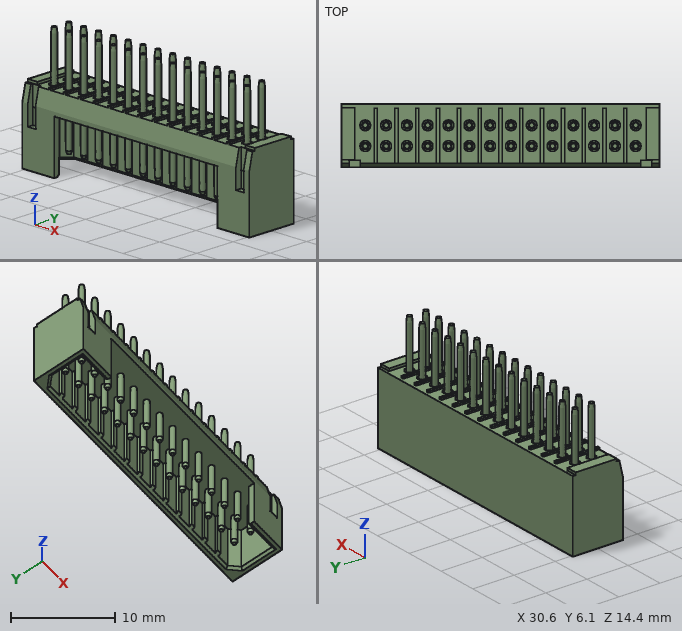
import cadquery as cq

LENGTH = 30.6
WIDTH = 6.1
DECK_Z = 8.6
FRONT_Y = -WIDTH / 2
BACK_Y = WIDTH / 2

SLOPE_DEPTH = 0.42
SLOPE_HEIGHT = 1.87

CEILING_Z = 6.25
CAVITY_HALF_LENGTH = 14.6
LONG_WALL = 0.7
CAVITY_FRONT_Y = FRONT_Y + LONG_WALL
CAVITY_BACK_Y = BACK_Y - LONG_WALL
CORNER_CUT = 0.95

BEVEL = 0.28
BEVEL_ANGLE = 45

WINDOW_LENGTH = 22.0

PIN_COUNT = 14
ROW_COUNT = 2
PITCH = 2.0
PIN_RADIUS = 0.325
PIN_BOTTOM_Z = 2.0
PIN_TOP_Z = 14.4
PIN_END_RADIUS = 0.18
PIN_END_LENGTH = 0.38
TIP_RADIUS = 0.25
TIP_LENGTH = 0.6
FULL_TURN = 360
RECESS_RADIUS = 0.51
RECESS_DEPTH = 0.35

INNER_RIB_WIDTH = 0.48
INNER_RIB_DEPTH = 0.27
TOP_RIB_WIDTH = 0.32
TOP_RIB_HEIGHT = 0.2
TOP_RIB_BACK_Y = 2.65

PAD_LENGTH = 1.3
PAD_HEIGHT = 0.3
PAD_BACK_Y = 2.7
PAD_FRONT_Y = -2.3

NOTCH_WIDTH = 1.05
NOTCH_END_GAP = 0.75
NOTCH_FLOOR_Z = 4.4
NOTCH_X = LENGTH / 2 - NOTCH_END_GAP - NOTCH_WIDTH / 2


def box(x_min, x_max, y_min, y_max, z_min, z_max):
    """Block between the given limits."""
    size = (x_max - x_min, y_max - y_min, z_max - z_min)
    return cq.Workplane("XY").box(*size, centered=False).translate((x_min, y_min, z_min))


def box_at(x, width, y_min, y_max, z_min, z_max):
    """Block of the given X width centred on x."""
    return box(x - width / 2, x + width / 2, y_min, y_max, z_min, z_max)


def extrude_side_profile(points, length):
    """Extrude a closed (Y, Z) outline along X, centred on X = 0."""
    return cq.Workplane("YZ").polyline(points).close().extrude(length / 2, both=True)


def centred_positions(count):
    """Positions of count items at the pin pitch, centred on zero."""
    return [(i - (count - 1) / 2) * PITCH for i in range(count)]


PIN_POINTS = [(x, y) for x in centred_positions(PIN_COUNT) for y in centred_positions(ROW_COUNT)]
RIB_POSITIONS = centred_positions(PIN_COUNT - 1)


def make_shell():
    """Outer block with the sloped front edge."""
    outline = [
        (FRONT_Y, 0),
        (BACK_Y, 0),
        (BACK_Y, DECK_Z),
        (FRONT_Y + SLOPE_DEPTH, DECK_Z),
        (FRONT_Y, DECK_Z - SLOPE_HEIGHT),
    ]
    return extrude_side_profile(outline, LENGTH)


def make_cavity():
    """Bottom cavity with cut back corners and ribs left standing on the back wall."""
    cavity = (
        box_at(0, 2 * CAVITY_HALF_LENGTH, CAVITY_FRONT_Y, CAVITY_BACK_Y, 0, CEILING_Z)
        .edges("|Z and >Y")
        .chamfer(CORNER_CUT)
    )
    for x in RIB_POSITIONS:
        rib = box_at(x, INNER_RIB_WIDTH, CAVITY_BACK_Y - INNER_RIB_DEPTH, CAVITY_BACK_Y, 0, CEILING_Z)
        cavity = cavity.cut(rib)
    return cavity


def make_bevel():
    """Taper that widens the cavity mouth and slopes the lower ends of the ribs."""
    half_length = CAVITY_HALF_LENGTH
    cut_x = half_length - CORNER_CUT
    cut_y = CAVITY_BACK_Y - CORNER_CUT
    outline = [
        (-half_length, CAVITY_FRONT_Y),
        (half_length, CAVITY_FRONT_Y),
        (half_length, cut_y),
        (cut_x, CAVITY_BACK_Y),
        (-cut_x, CAVITY_BACK_Y),
        (-half_length, cut_y),
    ]
    return (
        cq.Workplane("XY")
        .polyline(outline)
        .close()
        .offset2D(BEVEL, "intersection")
        .extrude(BEVEL + INNER_RIB_DEPTH, taper=BEVEL_ANGLE)
    )


def make_window():
    """Opening through the front wall, from the underside up to the cavity ceiling."""
    return box_at(0, WINDOW_LENGTH, FRONT_Y, CAVITY_FRONT_Y, 0, CEILING_Z)


def make_notch(side):
    """Notch as deep as the front wall, so it opens into the cavity below the ceiling."""
    return box_at(side * NOTCH_X, NOTCH_WIDTH, FRONT_Y, CAVITY_FRONT_Y, NOTCH_FLOOR_Z, DECK_Z)


def make_pad(side):
    """Raised pad at one end of the deck."""
    x = side * (LENGTH - PAD_LENGTH) / 2
    return box_at(x, PAD_LENGTH, PAD_FRONT_Y, PAD_BACK_Y, DECK_Z, DECK_Z + PAD_HEIGHT)


def make_top_rib(x):
    """Low rib across the deck."""
    front_y = FRONT_Y + SLOPE_DEPTH
    return box_at(x, TOP_RIB_WIDTH, front_y, TOP_RIB_BACK_Y, DECK_Z, DECK_Z + TOP_RIB_HEIGHT)


def make_recesses():
    """Round recesses in the deck around the pins."""
    plane = cq.Workplane("XY").workplane(offset=DECK_Z - RECESS_DEPTH)
    return plane.pushPoints(PIN_POINTS).circle(RECESS_RADIUS).extrude(RECESS_DEPTH)


def make_pin():
    """Round pin with a tapered lower end and a tapered upper tip."""
    profile = [
        (0, PIN_BOTTOM_Z),
        (PIN_END_RADIUS, PIN_BOTTOM_Z),
        (PIN_RADIUS, PIN_BOTTOM_Z + PIN_END_LENGTH),
        (PIN_RADIUS, PIN_TOP_Z - TIP_LENGTH),
        (TIP_RADIUS, PIN_TOP_Z),
        (0, PIN_TOP_Z),
    ]
    return cq.Workplane("XZ").polyline(profile).close().revolve(FULL_TURN, (0, 0), (0, 1))


housing = make_shell().cut(make_cavity()).cut(make_bevel()).cut(make_window())
for side in (-1, 1):
    housing = housing.cut(make_notch(side)).union(make_pad(side))
for rib_x in RIB_POSITIONS:
    housing = housing.union(make_top_rib(rib_x))
housing = housing.cut(make_recesses())

pin = make_pin()
result = housing
for pin_x, pin_y in PIN_POINTS:
    result = result.union(pin.translate((pin_x, pin_y, 0)))